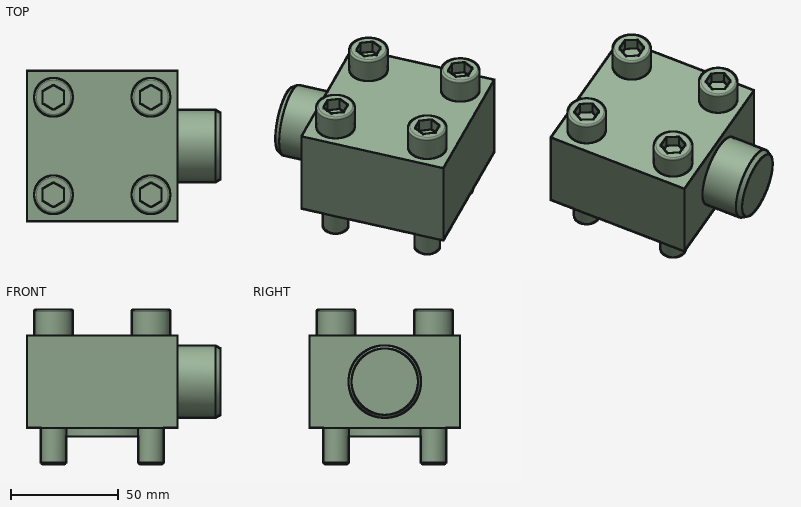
import cadquery as cq
import math

block_side = 70.0
block_height = 43.0

screw_diameter = 12.0
screw_length = 60.0
screw_circle_diameter = 64.0
screw_spacing = screw_circle_diameter / math.sqrt(2)
head_diameter = 18.0
head_height = 12.0
head_edge_radius = 1.0
thread_pitch = 1.75
thread_depth_per_pitch = 0.6134
tip_chamfer = thread_depth_per_pitch * thread_pitch
hex_across_flats = 10.0
hex_depth = 6.0
hex_rotation = 30.0

pipe_diameter = 33.7
pipe_length = 20.0
pipe_bevel_length = 2.5
pipe_bevel_angle = 30.0
pipe_bevel_height = pipe_bevel_length * math.tan(math.radians(pipe_bevel_angle))

spigot_diameter = 46.0
spigot_height = 4.0


def make_block():
    return cq.Workplane("XY").box(block_side, block_side, block_height, centered=(True, True, False))


def make_pipe():
    """Solid of revolution about the X axis, bevelled for welding at its free end."""
    radius = pipe_diameter / 2
    start = block_side / 2
    end = start + pipe_length
    return (
        cq.Workplane("XY")
        .moveTo(start, 0)
        .lineTo(start, radius)
        .lineTo(end - pipe_bevel_length, radius)
        .lineTo(end, radius - pipe_bevel_height)
        .lineTo(end, 0)
        .close()
        .revolve(360, (0, 0, 0), (1, 0, 0))
        .translate((0, 0, block_height / 2))
    )


def make_spigot():
    return cq.Workplane("XY").circle(spigot_diameter / 2).extrude(-spigot_height)


def make_screw():
    """Socket head cap screw on the Z axis, its head resting on the block top."""
    head_top = block_height + head_height
    hex_across_corners = hex_across_flats / math.cos(math.pi / 6)
    head = (
        cq.Workplane("XY", origin=(0, 0, block_height))
        .circle(head_diameter / 2)
        .extrude(head_height)
        .faces(">Z")
        .edges()
        .fillet(head_edge_radius)
    )
    shank = (
        cq.Workplane("XY", origin=(0, 0, block_height))
        .circle(screw_diameter / 2)
        .extrude(-screw_length)
        .faces("<Z")
        .edges()
        .chamfer(tip_chamfer)
    )
    socket = (
        cq.Workplane("XY", origin=(0, 0, head_top))
        .transformed(rotate=(0, 0, hex_rotation))
        .polygon(6, hex_across_corners)
        .extrude(-hex_depth)
    )
    return head.union(shank).cut(socket)


result = make_block().union(make_pipe()).union(make_spigot())
for x_side in (-1, 1):
    for y_side in (-1, 1):
        offset = (x_side * screw_spacing / 2, y_side * screw_spacing / 2, 0)
        result = result.union(make_screw().translate(offset))